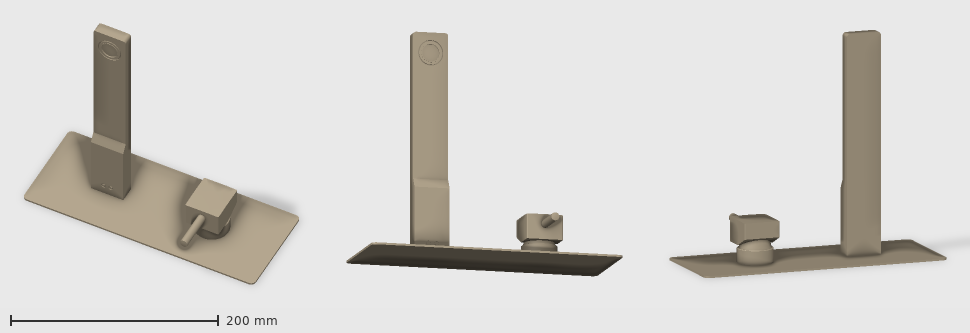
import cadquery as cq
PLATE_LENGTH = 250.0
PLATE_WIDTH = 100.0
PLATE_THICKNESS = 2.0
PLATE_CORNER_RADIUS = 5.0

SPOUT_X = -54.5
SPOUT_WIDTH = 35.0
SPOUT_TOP_Z = 220.0
SPOUT_BACK_Y = 8.2
SPOUT_THICKNESS = 11.5
SPOUT_FOOT_THICKNESS = 16.8
SPOUT_SLOPE_BOTTOM_Z = 67.0
SPOUT_SLOPE_TOP_Z = 76.0
SPOUT_CORNER_RADIUS = 3.0

OUTLET_Z = 200.0
OUTLET_RADIUS = 12.5
OUTLET_GROOVE_DEPTH = 1.2
MOUTH_DEPTH = 0.8
INSERT_RADIUS = 11.5
LIP_OUTER_RADIUS = 9.2
LIP_INNER_RADIUS = 8.5
LIP_PROJECTION = 0.5

SOCKET_Z = 12.2
SOCKET_SPACING = 8.0
SOCKET_RADIUS = 2.5
SOCKET_SCREW_RADIUS = 1.5
SOCKET_DEPTH = 0.8

MIXER_X = 54.5
BASE_RADIUS = 17.8
BASE_TOP_Z = 16.2
BASE_CHAMFER = 0.5
NECK_RADIUS = 16.0
NECK_TOP_RADIUS = 13.2
NECK_HEIGHT = 11.0

BLOCK_WIDTH = 36.0
BLOCK_BACK_Y = 18.8
BLOCK_FRONT_Y = -21.5
BLOCK_BOTTOM_Z = 19.5
BLOCK_TOP_Z = 44.5
UNDERSIDE_BEND_Y = 0.0
BLOCK_BACK_RISE = 8.8
BLOCK_EDGE_RADIUS = 1.0
BLOCK_DOME_RADIUS = 500.0

LEVER_Z = 34.5
LEVER_RADIUS = 4.0
LEVER_TIP_Y = -60.2
LEVER_DOME_HEIGHT = 0.5

SPOUT_FRONT_Y = SPOUT_BACK_Y - SPOUT_THICKNESS
SPOUT_FOOT_FRONT_Y = SPOUT_BACK_Y - SPOUT_FOOT_THICKNESS


def front_rod(x, z, radius, start_y, end_y):
    """A round rod along Y, from start_y forward to end_y."""
    return cq.Workplane("XZ", origin=(x, start_y, z)).circle(radius).extrude(start_y - end_y)


def make_plate():
    return (
        cq.Workplane("XY")
        .rect(PLATE_LENGTH, PLATE_WIDTH)
        .extrude(PLATE_THICKNESS)
        .edges("|Z")
        .fillet(PLATE_CORNER_RADIUS)
    )


def make_spout_bar():
    side_profile = [
        (SPOUT_BACK_Y, PLATE_THICKNESS),
        (SPOUT_FOOT_FRONT_Y, PLATE_THICKNESS),
        (SPOUT_FOOT_FRONT_Y, SPOUT_SLOPE_BOTTOM_Z),
        (SPOUT_FRONT_Y, SPOUT_SLOPE_TOP_Z),
        (SPOUT_FRONT_Y, SPOUT_TOP_Z),
        (SPOUT_BACK_Y, SPOUT_TOP_Z),
    ]
    return (
        cq.Workplane("YZ", origin=(SPOUT_X, 0, 0))
        .polyline(side_profile)
        .close()
        .extrude(SPOUT_WIDTH / 2, both=True)
        .edges("|Y and >Z")
        .fillet(SPOUT_CORNER_RADIUS)
    )


def add_outlet(spout):
    floor_y = SPOUT_FRONT_Y + OUTLET_GROOVE_DEPTH
    lip_y = SPOUT_FRONT_Y - LIP_PROJECTION

    def step(radius, start_y, end_y):
        return front_rod(SPOUT_X, OUTLET_Z, radius, start_y, end_y)

    groove = step(OUTLET_RADIUS, floor_y, SPOUT_FRONT_Y).cut(step(INSERT_RADIUS, floor_y, SPOUT_FRONT_Y))
    lip = step(LIP_OUTER_RADIUS, SPOUT_FRONT_Y, lip_y)
    mouth = step(LIP_INNER_RADIUS, SPOUT_FRONT_Y + MOUTH_DEPTH, lip_y)
    return spout.cut(groove).union(lip).cut(mouth)


def cut_sockets(spout):
    floor_y = SPOUT_FOOT_FRONT_Y + SOCKET_DEPTH
    for side in (-1, 1):
        x = SPOUT_X + side * SOCKET_SPACING / 2
        socket = front_rod(x, SOCKET_Z, SOCKET_RADIUS, floor_y, SPOUT_FOOT_FRONT_Y)
        screw = front_rod(x, SOCKET_Z, SOCKET_SCREW_RADIUS, floor_y, SPOUT_FOOT_FRONT_Y)
        spout = spout.cut(socket.cut(screw))
    return spout


def make_lever():
    """The rod, turned about its own axis, from the middle of the block to its domed tip."""
    dome_start_y = LEVER_TIP_Y + LEVER_DOME_HEIGHT
    dome_radius = (LEVER_RADIUS**2 + LEVER_DOME_HEIGHT**2) / (2 * LEVER_DOME_HEIGHT)
    return (
        cq.Workplane("XY", origin=(MIXER_X, 0, LEVER_Z))
        .lineTo(-LEVER_RADIUS, 0)
        .lineTo(-LEVER_RADIUS, dome_start_y)
        .radiusArc((0, LEVER_TIP_Y), -dome_radius)
        .close()
        .revolve(360, (0, 0, 0), (0, 1, 0))
    )


def make_handle():
    side_profile = [
        (BLOCK_FRONT_Y, BLOCK_BOTTOM_Z),
        (UNDERSIDE_BEND_Y, BLOCK_BOTTOM_Z),
        (BLOCK_BACK_Y, BLOCK_BOTTOM_Z + BLOCK_BACK_RISE),
        (BLOCK_BACK_Y, BLOCK_TOP_Z),
        (BLOCK_FRONT_Y, BLOCK_TOP_Z),
    ]
    block = (
        cq.Workplane("YZ", origin=(MIXER_X, 0, 0))
        .polyline(side_profile)
        .close()
        .extrude(BLOCK_WIDTH / 2, both=True)
        .edges("|Z")
        .fillet(BLOCK_EDGE_RADIUS)
    )
    dome_centre = (MIXER_X, 0, BLOCK_TOP_Z - BLOCK_DOME_RADIUS)
    dome = cq.Workplane("XY", origin=dome_centre).sphere(BLOCK_DOME_RADIUS)
    return block.intersect(dome).union(make_lever())


def make_mixer_base(handle):
    """The round base and its neck, whose top follows the underside of the handle."""
    base = (
        cq.Workplane("XY", origin=(MIXER_X, 0, PLATE_THICKNESS))
        .circle(BASE_RADIUS)
        .extrude(BASE_TOP_Z - PLATE_THICKNESS)
        .faces(">Z")
        .chamfer(BASE_CHAMFER)
    )
    neck = cq.Workplane(
        cq.Solid.makeCone(NECK_RADIUS, NECK_TOP_RADIUS, NECK_HEIGHT, cq.Vector(MIXER_X, 0, BASE_TOP_Z))
    )
    return base.union(neck.cut(handle))


handle = make_handle()
spout = cut_sockets(add_outlet(make_spout_bar()))
faucet_body = make_plate().union(spout).union(make_mixer_base(handle))

result = cq.Compound.makeCompound([faucet_body.val(), handle.val()])